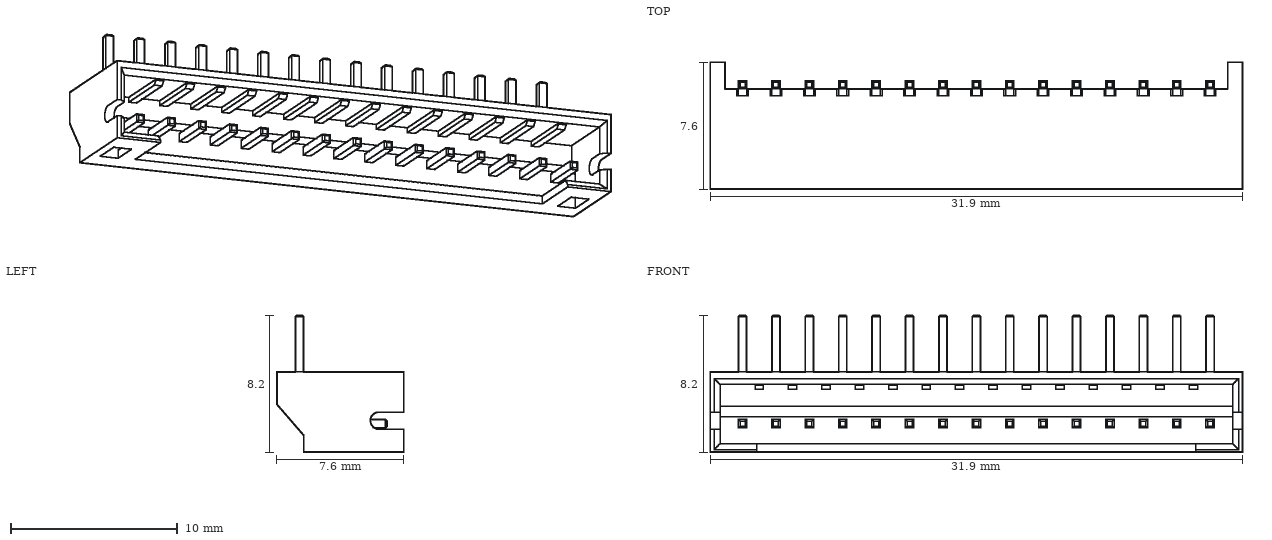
import cadquery as cq
import math

pin_count = 15
pitch = 2.0
end_margin = 1.95
width = (pin_count - 1) * pitch + 2 * end_margin
depth = 7.6
height = 4.8
back_wall_y = 6.0
ear_width = 0.9
ear_bevel_top_z = 2.85
ear_bevel_bottom_z = 1.0

side_wall = 0.6
floor_thickness = 0.5
ceiling_z = 4.05
lead_in = 0.35
ledge_y = 4.2
ledge_z = 2.12
ledge_rise = 0.63

floor_cut_end_y = 4.05
tab_width = 2.8
window_inner_x = 1.75
window_front_y = 2.05
latch_slot_axis_z = 1.88
latch_slot_radius = 0.5
latch_slot_end_y = 2.0

rib_front_y = 0.5
rib_width = 0.5
rib_height = 0.3
rib_bevel = 0.25

pin_size = 0.5
pin_tip_bevel = 0.1
pin_tip_y = 1.0
pin_axis_z = 1.7
pin_top_z = 8.2
pin_rear_y = back_wall_y + pin_size
bend_inner_radius = 0.4
pin_slot_width = 0.7
pin_slot_front_y = 5.6

pin_positions = [end_margin + i * pitch for i in range(pin_count)]


def box(x0, x1, y0, y1, z0, z1):
    """Axis-aligned block given by its limits along each axis."""
    return cq.Workplane("XY").box(x1 - x0, y1 - y0, z1 - z0, centered=False).translate((x0, y0, z0))


def extrude_side_profile(sketch, x0, length):
    """Extrude a closed Y-Z outline along +X by length, starting at x0."""
    return sketch.extrude(length).translate((x0, 0, 0))


def housing_blank():
    """Solid body whose two ends reach further back as bevelled ears."""
    outline = cq.Workplane("YZ").polyline([
        (0, 0),
        (back_wall_y, 0),
        (back_wall_y, ear_bevel_bottom_z),
        (depth, ear_bevel_top_z),
        (depth, height),
        (0, height),
    ]).close()
    blank = extrude_side_profile(outline, 0, width)
    return blank.cut(box(ear_width, width - ear_width, back_wall_y, depth, 0, height))


def cavity():
    """Front cavity: a rear wall with a sloping ledge, and a flared mouth."""
    outline = cq.Workplane("YZ").polyline([
        (0, floor_thickness),
        (ledge_y, floor_thickness),
        (ledge_y, ledge_z),
        (ledge_y + ledge_rise, ledge_z + ledge_rise),
        (ledge_y + ledge_rise, ceiling_z),
        (0, ceiling_z),
    ]).close()
    opening_width = width - 2 * side_wall
    inside = extrude_side_profile(outline, side_wall, opening_width)
    opening_height = ceiling_z - floor_thickness
    mouth = (
        cq.Workplane("XZ", origin=(width / 2, 0, (floor_thickness + ceiling_z) / 2))
        .rect(opening_width + 2 * lead_in, opening_height + 2 * lead_in)
        .workplane(offset=-lead_in)
        .rect(opening_width, opening_height)
        .loft()
    )
    return inside.union(mouth)


def floor_openings():
    """Wide front cut-out that leaves a tab at each end, and a window in each tab."""
    cuts = box(tab_width, width - tab_width, 0, floor_cut_end_y, 0, floor_thickness)
    window_width = window_inner_x - side_wall
    for x0 in (side_wall, width - window_inner_x):
        cuts = cuts.union(box(x0, x0 + window_width, window_front_y, ledge_y, 0, floor_thickness))
    return cuts


def latch_slots():
    """Round-ended slot through both side walls, open at the front."""
    bottom_z = latch_slot_axis_z - latch_slot_radius
    top_z = latch_slot_axis_z + latch_slot_radius
    straight_end_y = latch_slot_end_y - latch_slot_radius
    outline = (
        cq.Workplane("YZ")
        .moveTo(0, bottom_z)
        .lineTo(straight_end_y, bottom_z)
        .threePointArc(
            (latch_slot_end_y, latch_slot_axis_z),
            (straight_end_y, top_z),
        )
        .lineTo(0, top_z)
        .close()
    )
    return extrude_side_profile(outline, 0, width)


def ceiling_rib(x):
    """Rib under the ceiling with a bevelled front end."""
    bottom_z = ceiling_z - rib_height
    rear_y = ledge_y + ledge_rise
    outline = cq.Workplane("YZ").polyline([
        (rib_front_y, ceiling_z),
        (rib_front_y, bottom_z + rib_bevel),
        (rib_front_y + rib_bevel, bottom_z),
        (rear_y, bottom_z),
        (rear_y, ceiling_z),
    ]).close()
    return extrude_side_profile(outline, x - rib_width / 2, rib_width)


def pin_slot(x):
    """Notch in the rear of the housing that clears the bent pin."""
    bottom_z = pin_axis_z - pin_size / 2
    half = pin_slot_width / 2
    return box(x - half, x + half, pin_slot_front_y, back_wall_y, bottom_z, height)


def pin(x):
    """Square pin running back through the rear wall and bending up, tapered at both tips."""
    bottom_z = pin_axis_z - pin_size / 2
    top_z = pin_axis_z + pin_size / 2
    front_y = pin_rear_y - pin_size
    outer_radius = bend_inner_radius + pin_size
    bend_y = pin_rear_y - outer_radius
    bend_z = bottom_z + outer_radius
    diagonal = math.sqrt(0.5)
    outline = (
        cq.Workplane("YZ")
        .moveTo(pin_tip_y, bottom_z)
        .lineTo(bend_y, bottom_z)
        .threePointArc(
            (bend_y + outer_radius * diagonal, bend_z - outer_radius * diagonal),
            (pin_rear_y, bend_z),
        )
        .lineTo(pin_rear_y, pin_top_z)
        .lineTo(front_y, pin_top_z)
        .lineTo(front_y, bend_z)
        .threePointArc(
            (bend_y + bend_inner_radius * diagonal, bend_z - bend_inner_radius * diagonal),
            (bend_y, top_z),
        )
        .lineTo(pin_tip_y, top_z)
        .close()
    )
    wire = extrude_side_profile(outline, x - pin_size / 2, pin_size)
    return wire.faces("<Y or >Z").chamfer(pin_tip_bevel)


housing = housing_blank().cut(cavity()).cut(floor_openings()).cut(latch_slots())
for left, right in zip(pin_positions, pin_positions[1:]):
    housing = housing.union(ceiling_rib((left + right) / 2))
for x in pin_positions:
    housing = housing.cut(pin_slot(x)).union(pin(x))

result = housing.translate((-width / 2, 0, 0))